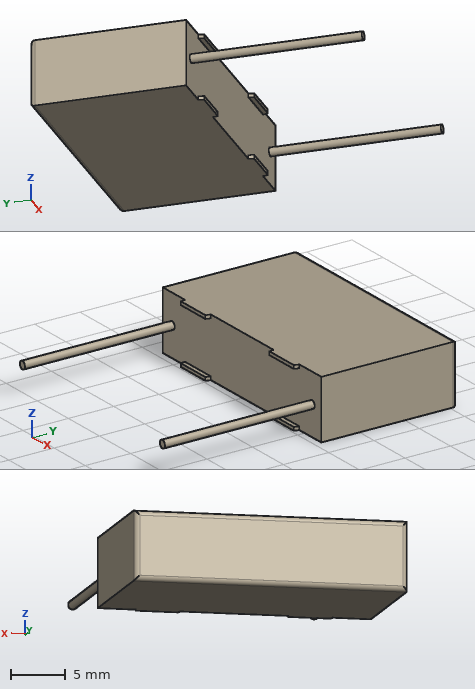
import cadquery as cq

housing_width = 25.5
housing_length = 15.0
housing_height = 6.5
end_fillet = 0.47

foot_base_width = 4.2
foot_taper = 0.13
foot_length = 0.5
foot_thickness = 0.38
foot_spacing = 14.25

overall_length = 31.5
lead_length = overall_length - housing_length
lead_diameter = 0.85
lead_pitch = 22.52


def make_foot(center_x, bottom_z):
    """Trapezoidal plate that narrows slightly from the seating face to its tip."""
    half_base = foot_base_width / 2
    half_tip = half_base - foot_taper
    return (
        cq.Workplane("XY", origin=(center_x, 0, bottom_z))
        .moveTo(-half_base, 0)
        .lineTo(-half_tip, -foot_length)
        .lineTo(half_tip, -foot_length)
        .lineTo(half_base, 0)
        .close()
        .extrude(foot_thickness)
    )


def make_housing():
    """Box rounded around its closed end, with four feet flush with the top and bottom faces."""
    body = (
        cq.Workplane("XY")
        .box(housing_width, housing_length, housing_height, centered=(True, False, True))
        .faces(">Y")
        .edges()
        .fillet(end_fillet)
    )
    lower_foot_z = -housing_height / 2
    upper_foot_z = housing_height / 2 - foot_thickness
    for center_x in (-foot_spacing / 2, foot_spacing / 2):
        for bottom_z in (lower_foot_z, upper_foot_z):
            body = body.union(make_foot(center_x, bottom_z))
    return body


def make_lead(center_x):
    """Straight wire that starts on the seating face, at mid height."""
    return cq.Workplane("XZ").center(center_x, 0).circle(lead_diameter / 2).extrude(lead_length)


housing = make_housing()
leads = [make_lead(center_x) for center_x in (-lead_pitch / 2, lead_pitch / 2)]

result = cq.Compound.makeCompound([housing.solids().val(), *[lead.val() for lead in leads]])